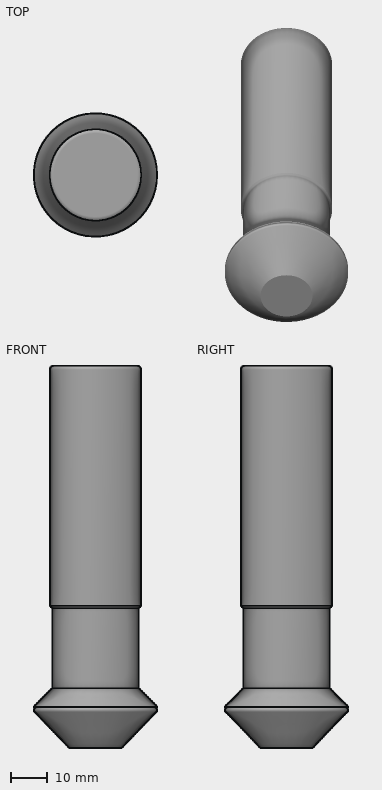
import math

import cadquery as cq

head_radius = 33.8 / 2
shank_radius = 25.0 / 2
neck_radius = 23.8 / 2
foot_radius = 7.1

total_height = 104.7
shoulder_height = 38.3
contact_height = 11.2

top_round = 1.0
tip_round = 0.7
flare_land = 0.2
shoulder_chamfer = shank_radius - neck_radius

flare_edge_height = contact_height + flare_land
neck_base_height = flare_edge_height + head_radius - neck_radius


def make_shank():
    """Round shank with a rounded top, a reduced neck and a flared base."""
    profile = (
        cq.Workplane("XZ")
        .moveTo(0, contact_height)
        .lineTo(head_radius, contact_height)
        .lineTo(head_radius, flare_edge_height)
        .lineTo(neck_radius, neck_base_height)
        .lineTo(neck_radius, shoulder_height)
        .lineTo(shank_radius, shoulder_height + shoulder_chamfer)
        .lineTo(shank_radius, total_height)
        .lineTo(0, total_height)
        .close()
    )
    shank = profile.revolve(360, (0, 0), (0, 1))
    return shank.faces(">Z").edges().fillet(top_round)


def make_tip():
    """Conical tip whose side runs tangent into its rounded upper rim."""
    center_radius = head_radius - tip_round
    center_height = contact_height - tip_round

    run = center_radius - foot_radius
    center_angle = math.atan2(center_height, run)
    cone_angle = center_angle - math.asin(tip_round / math.hypot(run, center_height))
    tangent_radius = center_radius + tip_round * math.sin(cone_angle)
    tangent_height = center_height - tip_round * math.cos(cone_angle)

    profile = (
        cq.Workplane("XZ")
        .lineTo(foot_radius, 0)
        .lineTo(tangent_radius, tangent_height)
        .threePointArc((head_radius, center_height), (center_radius, contact_height))
        .lineTo(0, contact_height)
        .close()
    )
    return profile.revolve(360, (0, 0), (0, 1))


shank = make_shank()
tip = make_tip()

result = cq.Compound.makeCompound([shank.val(), tip.val()])